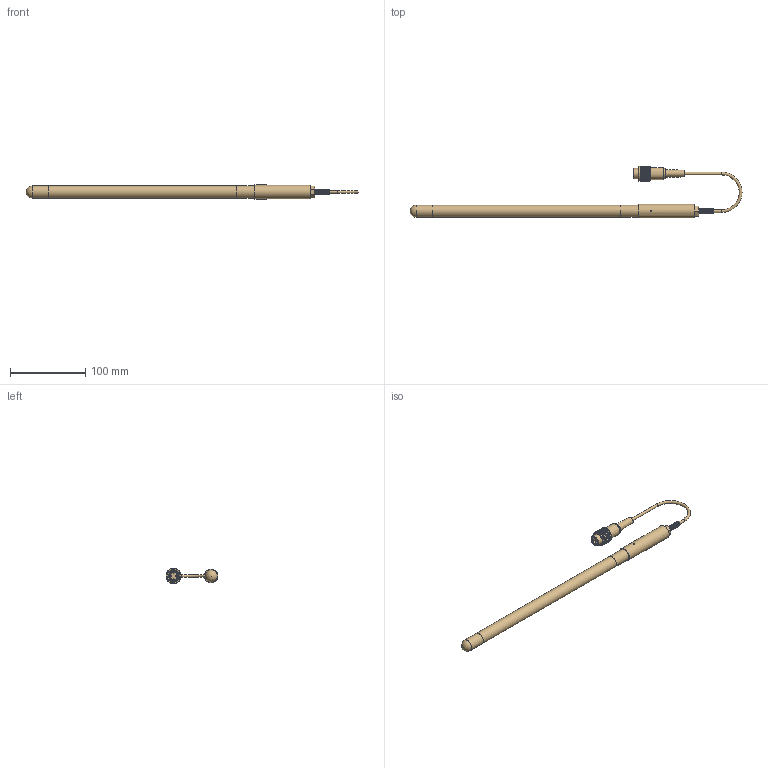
import cadquery as cq
import math


probe_dia = 16.0
dome_radius = probe_dia / 2
tip_end = 30.0
tube_end = 280.0
adapter_end = 303.3
handle_dia = 18.0
handle_end = 378.1
mark_hole_dia = 1.5
mark_hole_depth = 1.0
mark_hole_x = 320.8

nut_across_flats = 13.0
nut_length = 5.6
relief_dia = 6.3
relief_length = 20.0
slot_width = 1.0
slot_pitch = 2.0
slot_count = 9
bridge_width = 1.5
nut_end = handle_end + nut_length
relief_end = nut_end + relief_length
slots_start = nut_end + slot_width

overall_length = 441.23
cable_dia = 3.7
bend_radius = 25.0
bend_start = overall_length - bend_radius - cable_dia / 2
connector_y = 2 * bend_radius

shell_front = 297.3
nose_dia = 13.9
socket_dia = 10.2
socket_depth = 4.0
socket_chamfer = 0.9
insert_length = 8.0
barrel_dia = 16.0
neck_dia = 13.6
neck_start = 336.6
shell_end = 339.2

collar_dia = 19.9
collar_start = 303.3
collar_end = 319.9
collar_chamfer = 1.2
rim_width = 2.4
bore_chamfer = 1.2
rim_chamfer = 0.4
knurl_count = 36
knurl_dia = 1.0

boot_start_dia = 10.2
boot_end_dia = 9.0
boot_end = 364.8

pin_dia = 1.0
pin_circle_dia = 7.0
pin_length = 3.0
pin_count = 4


def rod(diameter, start, end, y=0.0):
    """Cylinder along X between two X positions."""
    return (
        cq.Workplane("YZ", origin=(start, y, 0))
        .circle(diameter / 2)
        .extrude(end - start)
    )


def make_mouth_chamfer(front, bore_dia, size):
    """Cone that chamfers the front edge of a bore on the connector axis."""
    cone = cq.Solid.makeCone(
        bore_dia / 2 + size,
        bore_dia / 2,
        size,
        pnt=cq.Vector(front, connector_y, 0),
        dir=cq.Vector(1, 0, 0),
    )
    return cq.Workplane(cone)


def make_tip():
    """Round-nosed end piece with a hemispherical dome."""
    dome_rise = dome_radius * math.sqrt(0.5)
    return (
        cq.Workplane("XY")
        .moveTo(0, 0)
        .threePointArc((dome_radius - dome_rise, dome_rise), (dome_radius, dome_radius))
        .lineTo(tip_end, dome_radius)
        .lineTo(tip_end, 0)
        .close()
        .revolve(360, (0, 0, 0), (1, 0, 0))
    )


def make_handle():
    """Plain cylindrical grip with a small blind hole on top."""
    mark_hole = (
        cq.Workplane("XY", origin=(mark_hole_x, 0, handle_dia / 2 - mark_hole_depth))
        .circle(mark_hole_dia / 2)
        .extrude(2 * mark_hole_depth)
    )
    return rod(handle_dia, adapter_end, handle_end).cut(mark_hole)


def make_relief_slot(index):
    """Ring groove reaching the cable, interrupted by two opposite bridges that alternate in direction."""
    start = slots_start + index * slot_pitch
    if index % 2 == 0:
        bridge_size = (relief_dia, bridge_width)
    else:
        bridge_size = (bridge_width, relief_dia)
    ring = (
        cq.Workplane("YZ", origin=(start, 0, 0))
        .circle(relief_dia / 2)
        .circle(cable_dia / 2)
        .extrude(slot_width)
    )
    bridges = cq.Workplane("YZ", origin=(start, 0, 0)).rect(*bridge_size).extrude(slot_width)
    return ring.cut(bridges)


def make_gland():
    """Hexagonal nut with a slotted bend relief, bored for the cable."""
    nut_across_corners = nut_across_flats / math.cos(math.pi / 6)
    nut = (
        cq.Workplane("YZ", origin=(handle_end, 0, 0))
        .transformed(rotate=(0, 0, 90))
        .polygon(6, nut_across_corners)
        .extrude(nut_length)
    )
    gland = nut.union(rod(relief_dia, nut_end, relief_end))
    gland = gland.cut(rod(cable_dia, handle_end, relief_end))
    for index in range(slot_count):
        gland = gland.cut(make_relief_slot(index))
    return gland


def make_cable():
    """Cable from the handle around a half-circle bend to the back of the connector."""
    path = (
        cq.Workplane("XY")
        .moveTo(handle_end, 0)
        .lineTo(bend_start, 0)
        .threePointArc((bend_start + bend_radius, bend_radius), (bend_start, connector_y))
        .lineTo(shell_end, connector_y)
    )
    return cq.Workplane("YZ", origin=(handle_end, 0, 0)).circle(cable_dia / 2).sweep(path)


def make_shell():
    """Connector shell: nose through the collar, barrel, and neck, with a blind socket in the nose."""
    nose = rod(nose_dia, shell_front, collar_end, connector_y)
    barrel = rod(barrel_dia, collar_end, neck_start, connector_y)
    neck = rod(neck_dia, neck_start, shell_end, connector_y)
    socket_end = shell_front + socket_depth + insert_length
    socket = rod(socket_dia, shell_front, socket_end, connector_y)
    mouth = make_mouth_chamfer(shell_front, socket_dia, socket_chamfer)
    return nose.union(barrel).union(neck).cut(socket).cut(mouth)


def make_insert():
    """Contact insert at the bottom of the socket, with its pins standing forward."""
    face = shell_front + socket_depth
    insert = rod(socket_dia, face, face + insert_length, connector_y)
    for index in range(pin_count):
        angle = 2 * math.pi * index / pin_count
        pin = (
            cq.Workplane("YZ", origin=(face, connector_y, 0))
            .center(pin_circle_dia / 2 * math.cos(angle), pin_circle_dia / 2 * math.sin(angle))
            .circle(pin_dia / 2)
            .extrude(-pin_length)
        )
        insert = insert.union(pin)
    return insert


def make_collar():
    """Coupling ring around the nose, with a plain front rim and straight knurling behind it."""
    collar = rod(collar_dia, collar_start, collar_end, connector_y)
    collar = collar.faces(">X").chamfer(collar_chamfer)
    collar = collar.faces("<X").chamfer(rim_chamfer)
    half_step = 180.0 / knurl_count
    knurl = (
        cq.Workplane("YZ", origin=(collar_start + rim_width, connector_y, 0))
        .polarArray(collar_dia / 2, half_step, 360, knurl_count)
        .circle(knurl_dia / 2)
        .extrude(collar_end - collar_start - rim_width)
    )
    bore = rod(nose_dia, collar_start, collar_end, connector_y)
    mouth = make_mouth_chamfer(collar_start, nose_dia, bore_chamfer)
    return collar.cut(knurl).cut(bore).cut(mouth)


def make_boot():
    """Tapered sleeve behind the connector shell, bored for the cable."""
    boot = (
        cq.Workplane("YZ", origin=(shell_end, connector_y, 0))
        .circle(boot_start_dia / 2)
        .workplane(offset=boot_end - shell_end)
        .circle(boot_end_dia / 2)
        .loft()
    )
    return boot.cut(rod(cable_dia, shell_end, boot_end, connector_y))


tip = make_tip()
tube = rod(probe_dia, tip_end, tube_end)
adapter = rod(probe_dia, tube_end, adapter_end)
handle = make_handle()
gland = make_gland()
cable = make_cable()
boot = make_boot()
shell = make_shell()
insert = make_insert()
collar = make_collar()

bodies = [tip, tube, adapter, handle, gland, cable, boot, shell, insert, collar]
result = cq.Compound.makeCompound([body.val() for body in bodies])